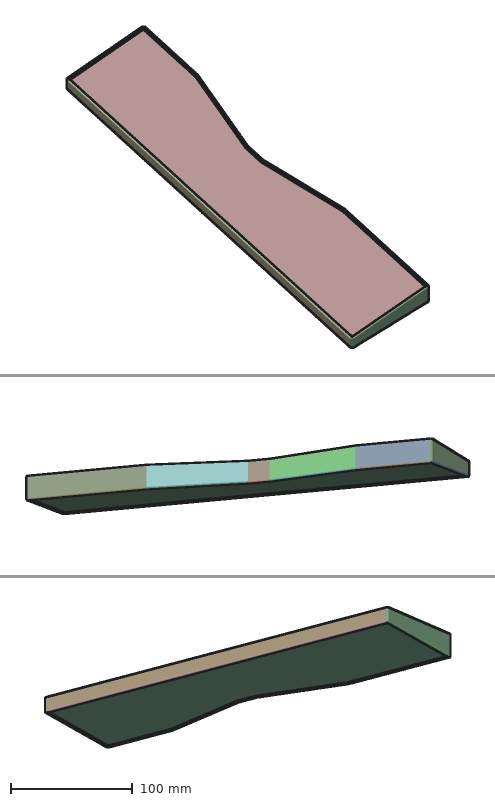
import cadquery as cq
import math

LENGTH = 359.0
DEPTH = 85.0
HEIGHT = 20.92
BOTTOM_TILT = 5.0

CORNER_RADIUS = 2.0
EDGE_RADIUS = 1.5

RIM_WIDTH = 2.0
TOP_RECESS_DEPTH = 2.5
BOTTOM_RECESS_DEPTH = 1.5

NOTCH_CENTER_X = 160.0
NOTCH_MOUTH_WIDTH = 184.0
NOTCH_FLOOR_WIDTH = 19.0
NOTCH_DEPTH = 17.25

tilt = math.radians(BOTTOM_TILT)
lift_by_rounding = EDGE_RADIUS * (math.tan(tilt) + 1 / math.cos(tilt) - 1)
back_height = HEIGHT + lift_by_rounding
front_height = back_height - DEPTH * math.tan(tilt)


def outline(plane, depth_stretch=1.0):
    """Notched rectangle drawn on the plane, stretched along its depth."""
    half_mouth = NOTCH_MOUTH_WIDTH / 2
    half_floor = NOTCH_FLOOR_WIDTH / 2
    back = DEPTH * depth_stretch
    notch_floor = (DEPTH - NOTCH_DEPTH) * depth_stretch
    return (
        cq.Workplane(plane)
        .polyline([
            (0, 0),
            (LENGTH, 0),
            (LENGTH, back),
            (NOTCH_CENTER_X + half_mouth, back),
            (NOTCH_CENTER_X + half_floor, notch_floor),
            (NOTCH_CENTER_X - half_floor, notch_floor),
            (NOTCH_CENTER_X - half_mouth, back),
            (0, back),
        ])
        .close()
    )


def bottom_plane():
    """Plane of the tilted bottom face, with its normal pointing into the body."""
    return cq.Plane(
        origin=(0, 0, -front_height),
        xDir=(1, 0, 0),
        normal=(0, math.sin(tilt), math.cos(tilt)),
    )


def wedge():
    """Notched slab with its top at Z = 0, trimmed below by the tilted bottom."""
    side_profile = [(0, 0), (DEPTH, 0), (DEPTH, -back_height), (0, -front_height)]
    tapered_bar = cq.Workplane("YZ").polyline(side_profile).close().extrude(LENGTH)
    return outline(cq.Plane.XY()).extrude(-back_height).intersect(tapered_bar)


def round_edges(body):
    """Round the upright end corners, then the top and bottom outlines."""
    body = body.faces("<X or >X").edges("|Z").fillet(CORNER_RADIUS)
    return body.faces(">Z or <Z").edges().fillet(EDGE_RADIUS)


def cut_recesses(body):
    """Sink the top and bottom faces inside the rim, square to each face."""
    top_recess = outline(cq.Plane.XY()).offset2D(-RIM_WIDTH).extrude(-TOP_RECESS_DEPTH)
    bottom_recess = (
        outline(bottom_plane(), 1 / math.cos(tilt))
        .offset2D(-RIM_WIDTH)
        .extrude(BOTTOM_RECESS_DEPTH)
    )
    return body.cut(top_recess).cut(bottom_recess)


result = cut_recesses(round_edges(wedge()))